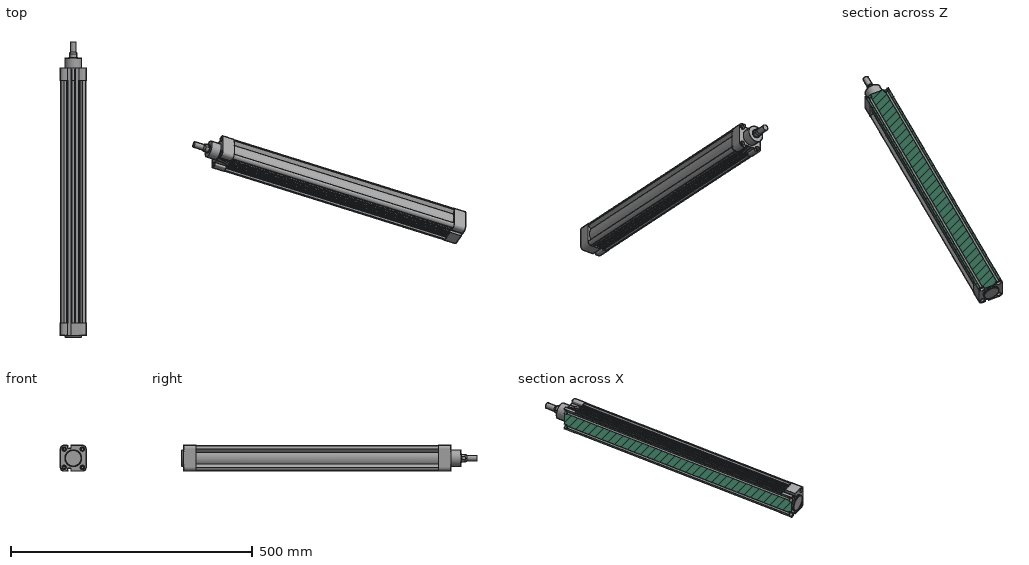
import cadquery as cq
import math

total_length = 613.0
pilot_length = 4.0
cap_length = 26.0
rod_tip_to_cap = 54.0
rod_tip_to_collar = 34.0

rear_cap_start = pilot_length
tube_start = rear_cap_start + cap_length
collar_start = total_length - rod_tip_to_cap
head_cap_start = collar_start - cap_length
collar_end = total_length - rod_tip_to_collar

half_width = 27.0
corner_radius = 8.0
corner_center = half_width - corner_radius
guide_diameter = 35.0
pilot_chamfer = 1.0
seal_lip_diameter = 18.0
seal_lip_length = 1.0

tube_half_width = 26.5
tube_length = head_cap_start - tube_start
barrel_radius = 23.0
side_groove_half = 12.0
side_groove_depth = tube_half_width - math.sqrt(barrel_radius**2 - side_groove_half**2)

slot_floor = 21.0
slot_outer = 11.5
slot_mouth = 10.5
lip_bottom = 24.5
outer_rail_top = 13.0
outer_rail_foot = 13.5
valley_floor = 21.0
slot_inner = 4.0
inner_rail = 3.0
ridge_height = 21.5
rear_slot_inner = 5.0
slot_edge_radius = 2.0
ramp_top = 26.5

hole_diameter = 4.0
counterbore_diameter = 9.0
counterbore_depth = 6.0

rod_diameter = 16.0
thread_diameter = 12.0
thread_length = 21.0
shoulder_distance = 24.5
flats_end_distance = 30.5
flats_width = 15.0
rod_seat_depth = 12.0

rod_start = collar_start - rod_seat_depth
seal_lip_end = collar_end + seal_lip_length


def section_plane(y):
    """Plane across the axis at y: local x is X, local y is Z, extrusion runs toward +Y."""
    return cq.Workplane(cq.Plane(origin=(0, y, 0), xDir=(1, 0, 0), normal=(0, -1, 0)))


def extrude_along_axis(sketch, length):
    return sketch.extrude(-length)


def axial_cylinder(diameter, start, end):
    return extrude_along_axis(section_plane(start).circle(diameter / 2), end - start)


def cap_block(start):
    block = section_plane(start).rect(2 * half_width, 2 * half_width)
    return extrude_along_axis(block, cap_length).edges("|Y").fillet(corner_radius)


def top_and_bottom(shape):
    """The shape together with its mirror image on the bottom face."""
    return shape.union(shape.mirror("XY"))


def rounded_slot_edge(start, side):
    """Sliver removed to round the top outer edge of a cap slot, on the side -1 or +1."""
    tangent = slot_outer + slot_edge_radius
    low = half_width - slot_edge_radius
    middle = slot_edge_radius * (1 - math.sqrt(0.5))
    sliver = (
        section_plane(start)
        .moveTo(side * tangent, half_width)
        .threePointArc(
            (side * (slot_outer + middle), half_width - middle),
            (side * slot_outer, low),
        )
        .lineTo(side * slot_outer, half_width)
        .close()
    )
    return extrude_along_axis(sliver, cap_length)


def slot_cutter(start, left, right):
    width = right - left
    depth = half_width - slot_floor
    slot = section_plane(start).center(left + width / 2, slot_floor + depth / 2).rect(width, depth)
    return extrude_along_axis(slot, cap_length)


def make_rear_cap():
    """Rear cap with a single slot at -X in its top and bottom faces."""
    slot = slot_cutter(rear_cap_start, -slot_outer, -rear_slot_inner)
    slot = slot.union(rounded_slot_edge(rear_cap_start, -1))
    return cap_block(rear_cap_start).cut(top_and_bottom(slot))


def make_head_cap():
    """Head cap with a wide slot in its top and bottom faces, with a ridge and a ramp along its middle."""
    slot = slot_cutter(head_cap_start, -slot_outer, slot_outer)
    for side in (-1, 1):
        slot = slot.union(rounded_slot_edge(head_cap_start, side))
    ramp = (
        cq.Workplane("YZ")
        .polyline([
            (head_cap_start, slot_floor),
            (head_cap_start, ramp_top),
            (collar_start, slot_floor),
        ])
        .close()
        .extrude(inner_rail, both=True)
    )
    ridge = (
        section_plane(head_cap_start)
        .center(0, (slot_floor + ridge_height) / 2)
        .rect(2 * slot_inner, ridge_height - slot_floor)
    )
    middle = extrude_along_axis(ridge, cap_length).union(ramp)
    return cap_block(head_cap_start).cut(top_and_bottom(slot.cut(middle)))


def side_groove_cutter():
    """Groove along the +X face: two 45 degree flanks down to the round barrel."""
    bottom = tube_half_width - side_groove_depth
    mouth_half = side_groove_half + side_groove_depth
    groove = (
        section_plane(tube_start)
        .moveTo(tube_half_width, mouth_half)
        .lineTo(bottom, side_groove_half)
        .threePointArc((barrel_radius, 0), (bottom, -side_groove_half))
        .lineTo(tube_half_width, -mouth_half)
        .close()
    )
    return extrude_along_axis(groove, tube_length)


def sensor_slot(side):
    """Slot with an inward lip on its outer rail, on the side -1 or +1."""
    outline = [
        (slot_mouth, tube_half_width),
        (slot_mouth, lip_bottom),
        (slot_outer, lip_bottom),
        (slot_outer, slot_floor),
        (slot_inner, slot_floor),
        (slot_inner, tube_half_width),
    ]
    slot = section_plane(tube_start).polyline([(side * x, z) for x, z in outline]).close()
    return extrude_along_axis(slot, tube_length)


def rail_valley(side):
    """Valley between a 45 degree flank and the outer rail, on the side -1 or +1."""
    outline = [
        (outer_rail_foot + tube_half_width - valley_floor, tube_half_width),
        (outer_rail_foot, valley_floor),
        (outer_rail_top, tube_half_width),
    ]
    valley = section_plane(tube_start).polyline([(side * x, z) for x, z in outline]).close()
    return extrude_along_axis(valley, tube_length)


def barrel_strip():
    """Groove between the two inner rails, down to the round barrel."""
    edge_height = math.sqrt(barrel_radius**2 - inner_rail**2)
    strip = (
        section_plane(tube_start)
        .moveTo(-inner_rail, tube_half_width)
        .lineTo(-inner_rail, edge_height)
        .threePointArc((0, barrel_radius), (inner_rail, edge_height))
        .lineTo(inner_rail, tube_half_width)
        .close()
    )
    return extrude_along_axis(strip, tube_length)


def make_tube():
    """Profiled tube with a groove on each side and rails with sensor slots on the top and bottom."""
    blank = section_plane(tube_start).rect(2 * tube_half_width, 2 * tube_half_width)
    tube = extrude_along_axis(blank, tube_length).edges("|Y").fillet(tube_half_width - corner_center)
    side_groove = side_groove_cutter()
    tube = tube.cut(side_groove).cut(side_groove.mirror("YZ"))
    tube = tube.cut(top_and_bottom(barrel_strip()))
    for side in (-1, 1):
        tube = tube.cut(top_and_bottom(sensor_slot(side)))
        tube = tube.cut(top_and_bottom(rail_valley(side)))
    return tube


def corner_holes(diameter, start, end):
    corners = [(x * corner_center, z * corner_center) for x in (-1, 1) for z in (-1, 1)]
    return extrude_along_axis(section_plane(start).pushPoints(corners).circle(diameter / 2), end - start)


def make_housing():
    """Caps, profiled tube, rear pilot and front collar, with the seat for the rod."""
    housing = make_rear_cap().union(make_tube()).union(make_head_cap())
    pilot = axial_cylinder(guide_diameter, 0, tube_start).faces("<Y").chamfer(pilot_chamfer)
    housing = housing.union(pilot)
    housing = housing.union(axial_cylinder(guide_diameter, collar_start, collar_end))
    housing = housing.union(axial_cylinder(seal_lip_diameter, collar_start, seal_lip_end))
    housing = housing.cut(corner_holes(hole_diameter, rear_cap_start, collar_start))
    rear_counterbores = corner_holes(counterbore_diameter, rear_cap_start, rear_cap_start + counterbore_depth)
    front_counterbores = corner_holes(counterbore_diameter, collar_start - counterbore_depth, collar_start)
    housing = housing.cut(rear_counterbores).cut(front_counterbores)
    return housing.cut(axial_cylinder(rod_diameter, rod_start, seal_lip_end))


def make_piston_rod():
    """Rod with a thinner thread-size tip, a conical shoulder and two wrench flats facing -X and +X."""
    shoulder = total_length - shoulder_distance
    thread_start = total_length - thread_length
    rod = (
        cq.Workplane("XY")
        .polyline([
            (0, rod_start),
            (rod_diameter / 2, rod_start),
            (rod_diameter / 2, shoulder),
            (thread_diameter / 2, thread_start),
            (thread_diameter / 2, total_length),
            (0, total_length),
        ])
        .close()
        .revolve(360, (0, 0, 0), (0, 1, 0))
    )
    flats_length = flats_end_distance - thread_length
    flat_cut_depth = (rod_diameter - flats_width) / 2
    for side in (-1, 1):
        flat_cut = cq.Workplane("XY").box(flat_cut_depth, flats_length, rod_diameter).translate(
            (side * (flats_width + flat_cut_depth) / 2, thread_start - flats_length / 2, 0)
        )
        rod = rod.cut(flat_cut)
    return rod


housing = make_housing()
piston_rod = make_piston_rod()

result = cq.Compound.makeCompound([*housing.vals(), *piston_rod.vals()])